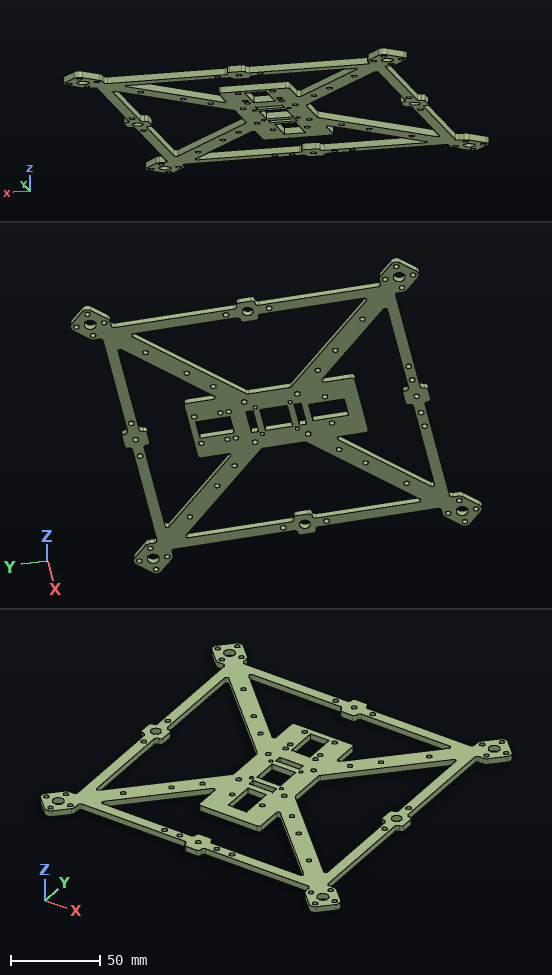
import cadquery as cq
import math

side = 199.8
thickness = 4.0

bar_center = 80.5
bar_width = 6.8
arm_width = 11.5

plate_width = 41.3
plate_length = 97.9

tab_along = 10.5
tab_across = 14.5

pod_tip = 11.4
pod_tip_radius = 3.5
pod_center = side / 2 - pod_tip

corner_radius = 1.8
notch_radius = 1.2
pod_joint_radius = 1.5

pod_bore = 6.5
pod_screw_hole = 3.0
pod_screw_offset = 8.0
side_tab_bore = 6.0
end_tab_hole = 3.2
bar_hole = 3.2
bar_hole_offset = 12.4
outer_bar_hole_offset = 22.5
arm_hole = 3.0
arm_hole_places = [30.0, 42.5, 62.1]
plate_hole = 3.0
plate_hole_x = 10.0
plate_hole_rows = [45.0, 30.0, 25.2, -30.0]
mount_hole = 3.2
mount_offset = 15.2
pilot_hole = 2.2
pilot_offset = 10.0

center_window = 15.5
slot_inner = 11.8
slot_outer = 15.8
end_window_width = 12.2
upper_window = (25.4, 45.0)
lower_window = (-40.1, -19.8)

quadrants = [(sx, sy) for sx in (-1, 1) for sy in (-1, 1)]
bar_outer = bar_center + bar_width / 2
bar_inner = bar_center - bar_width / 2


def block(width, length, x=0, y=0):
    """Full-thickness rectangular block centred on (x, y)."""
    return cq.Workplane("XY").center(x, y).rect(width, length).extrude(thickness)


def window(width, y_low, y_high):
    """Cutter for a rectangular opening centred on the Y axis."""
    return block(width, y_high - y_low, 0, (y_low + y_high) / 2)


def drills(diameter, places):
    """Cutters for round through holes."""
    return cq.Workplane("XY").pushPoints(places).circle(diameter / 2).extrude(thickness)


def near(edge, places):
    """True if a vertical edge stands at one of the places."""
    center = edge.Center()
    return any(math.hypot(center.x - x, center.y - y) < 0.02 for x, y in places)


def round_edges(body, radius, places):
    """Round the vertical edges standing at the places."""
    return body.edges("|Z").filter(lambda edge: near(edge, places)).fillet(radius)


def make_frame():
    """Square ring, crossed arms, central plate and mid-bar tabs with rounded corners."""
    frame = block(2 * bar_outer, 2 * bar_outer).cut(block(2 * bar_inner, 2 * bar_inner))
    arm_end = bar_inner + bar_width / 4
    arm_length = 2 * math.sqrt(2) * arm_end
    for angle in (45, -45):
        frame = frame.union(block(arm_length, arm_width).rotate((0, 0, 0), (0, 0, 1), angle))
    frame = frame.union(block(plate_width, plate_length))
    for sign in (-1, 1):
        frame = frame.union(block(tab_along, tab_across, 0, sign * bar_center))
        frame = frame.union(block(tab_across, tab_along, sign * bar_center, 0))

    arm_shift = arm_width / math.sqrt(2)
    plate_edge = plate_width / 2
    notches = []
    for sx, sy in quadrants:
        notches.append((sx * plate_edge, sy * (plate_edge + arm_shift)))
        notches.append((sx * (bar_inner - arm_shift), sy * bar_inner))
        notches.append((sx * bar_inner, sy * (bar_inner - arm_shift)))
    frame = round_edges(frame, notch_radius, notches)
    corners = []
    for sx, sy in quadrants:
        corners.append((sx * plate_edge, sy * plate_length / 2))
        corners.append((sx * plate_edge, sy * (plate_edge - arm_shift)))
        for across in (bar_center - tab_across / 2, bar_inner, bar_outer, bar_center + tab_across / 2):
            corners.append((sx * tab_along / 2, sy * across))
            corners.append((sx * across, sy * tab_along / 2))
    return round_edges(frame, corner_radius, corners)


def make_pod():
    """Round-tipped diamond for the +X +Y corner, squared off on the side that meets the frame."""
    tip_axis = pod_tip - pod_tip_radius
    rise = pod_tip_radius / math.sqrt(2)
    flat_end = tip_axis + rise
    half_rise = pod_tip_radius * math.sin(math.pi / 8)
    half_run = tip_axis + pod_tip_radius * math.cos(math.pi / 8)
    return (
        cq.Workplane("XY")
        .center(pod_center, pod_center)
        .moveTo(-pod_tip, -pod_tip)
        .lineTo(0, -pod_tip)
        .threePointArc((half_rise, -half_run), (rise, -flat_end))
        .lineTo(flat_end, -rise)
        .threePointArc((pod_tip, 0), (flat_end, rise))
        .lineTo(rise, flat_end)
        .threePointArc((0, pod_tip), (-rise, flat_end))
        .lineTo(-flat_end, rise)
        .threePointArc((-half_run, half_rise), (-pod_tip, 0))
        .close()
        .extrude(thickness)
    )


def make_holes():
    """All round through holes."""
    pod_screws = []
    for sx, sy in quadrants:
        x = sx * pod_center
        y = sy * pod_center
        for sign in (-1, 1):
            pod_screws.append((x + sign * pod_screw_offset, y))
            pod_screws.append((x, y + sign * pod_screw_offset))
    bar_places = []
    for sx, sy in quadrants:
        bar_places.append((sx * bar_hole_offset, sy * bar_center))
        bar_places.append((sx * bar_center, sy * bar_hole_offset))
    for sign in (-1, 1):
        bar_places.append((sign * outer_bar_hole_offset, -bar_center))

    holes = drills(pod_bore, [(sx * pod_center, sy * pod_center) for sx, sy in quadrants])
    holes = holes.union(drills(pod_screw_hole, pod_screws))
    holes = holes.union(drills(bar_hole, bar_places))
    holes = holes.union(drills(side_tab_bore, [(sx * bar_center, 0) for sx in (-1, 1)]))
    holes = holes.union(drills(end_tab_hole, [(0, sy * bar_center) for sy in (-1, 1)]))
    arm_places = [(sx * p, sy * p) for sx, sy in quadrants for p in arm_hole_places]
    holes = holes.union(drills(arm_hole, arm_places))
    plate_places = [(sx * plate_hole_x, y) for sx in (-1, 1) for y in plate_hole_rows]
    holes = holes.union(drills(plate_hole, plate_places))
    holes = holes.union(drills(mount_hole, [(sx * mount_offset, sy * mount_offset) for sx, sy in quadrants]))
    return holes.union(drills(pilot_hole, [(sx * pilot_offset, sy * pilot_offset) for sx, sy in quadrants]))


def make_windows():
    """Rectangular openings along the middle of the plate."""
    windows = window(center_window, -center_window / 2, center_window / 2)
    windows = windows.union(window(center_window, slot_inner, slot_outer))
    windows = windows.union(window(center_window, -slot_outer, -slot_inner))
    windows = windows.union(window(end_window_width, *upper_window))
    return windows.union(window(end_window_width, *lower_window))


body = make_frame()
for quarter_turns in range(4):
    body = body.union(make_pod().rotate((0, 0, 0), (0, 0, 1), 90 * quarter_turns))

pod_inner = pod_center - pod_tip
pod_joints = []
for sx, sy in quadrants:
    pod_joints.append((sx * bar_outer, sy * pod_inner))
    pod_joints.append((sx * pod_inner, sy * bar_outer))
body = round_edges(body, pod_joint_radius, pod_joints)

result = body.cut(make_holes()).cut(make_windows())